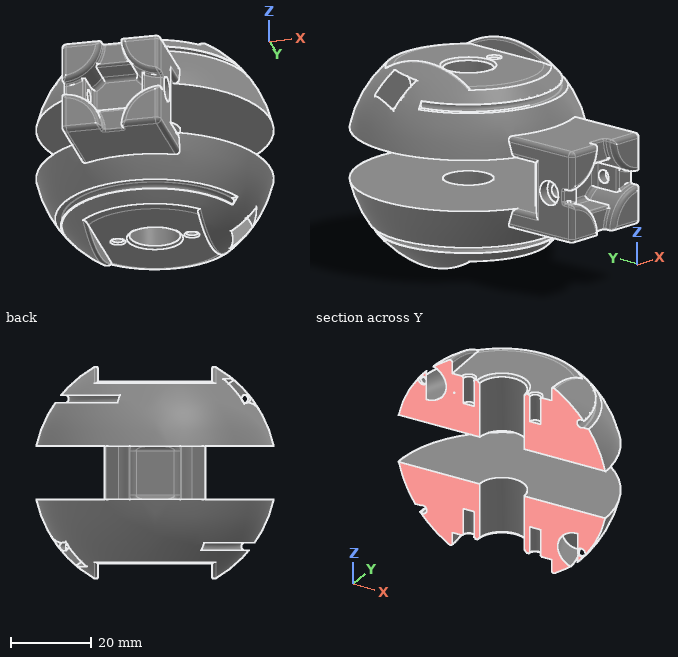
import cadquery as cq
BALL_R = 30.5
GAP_HALF = 6.64

SEAT_HALF_WIDTH = 14.2
SEAT_Z = 22.8
SEAT_FLAT_R = 18.8
SEAT_SLOPE = 0.24
LIP_FILLET = 0.6

BORE_R = 6.4
BORE_CHAMFER = 0.7
SCREW_X = 9.5
SCREW_R = 1.45
SCREW_CHAMFER = 0.45
SCREW_DEPTH = 7.7

GROOVE_Z = 18.4
GROOVE_HALF_WIDTH = 0.9
GROOVE_LIP_FILLET = 0.6
CORD_CENTRE_R = 22.7
CORD_R = 1.1
GROOVE_MIDDLE = 310.5
UPPER_GROOVE_SWEEP = 235
LOWER_GROOVE_SWEEP = 220
POCKET_AXIS_OFFSET = 19.95
POCKET_R = 5.1
POCKET_ANGLE = 158
POCKET_START = -2.1
POCKET_LENGTH = 10.1
TUNNEL_END = 176

FRONT_Y = -47.015
BLOCK_HALF_X = 12.7
BLOCK_HALF_Z = 11.9
BLOCK_BACK_Y = -23
BLOCK_FILLET = 1.2

POST_R = 10.1
CHANNEL_DEPTH = 3.0
CHANNEL_Y = FRONT_Y + CHANNEL_DEPTH
POST_BASE_FILLET = 0.45
CHANNEL_MOUTH_FILLET = 0.5

WELL_HALF_X = 7.4
WELL_HALF_Z = 5.9
WELL_FLOOR_Y = -36.1
WELL_RIM_FILLET = 0.6
WELL_FLOOR_FILLET = 1.15

CROSS_Y = -39.3
CROSS_R = 1.7
CROSS_HEAD_R = 3.15
CROSS_HEAD_DEPTH = 2.8

RECESS_Y = -35.1
TONGUE_TIP_Y = -28.1
TONGUE_TIP_FILLET = 2.3
TONGUE_ROOT_FILLET = 1.15
SCOOP_X = 11.4
SCOOP_Y = -26.7
SCOOP_R = 5.4


def ring(profile, start, sweep):
    """Revolve a profile drawn in XZ around the Z axis, from a start angle."""
    return profile.revolve(sweep, (0, 0), (0, 1)).rotate((0, 0, 0), (0, 0, 1), start)


def seat_cutter():
    """Space above the seat floor: flat in the middle, sloping down to its round rim."""
    floor = (
        cq.Workplane("XZ")
        .moveTo(0, SEAT_Z)
        .lineTo(SEAT_FLAT_R, SEAT_Z)
        .lineTo(BALL_R, SEAT_Z - SEAT_SLOPE * (BALL_R - SEAT_FLAT_R))
        .lineTo(BALL_R, BALL_R)
        .lineTo(0, BALL_R)
        .close()
        .revolve(360, (0, 0), (0, 1))
    )
    channel = cq.Workplane("XY").box(2 * SEAT_HALF_WIDTH, 2 * BALL_R, 2 * BALL_R)
    return floor.intersect(channel)


def seat_hole(x, radius, chamfer, depth):
    """Round hole down from the seat with a chamfered mouth."""
    hole = cq.Workplane("XY", origin=(x, 0, SEAT_Z - depth)).circle(radius).extrude(depth)
    mouth = (
        cq.Workplane("XY", origin=(x, 0, SEAT_Z))
        .circle(radius + chamfer)
        .extrude(-radius - chamfer, taper=45)
    )
    return hole.union(mouth)


def cord_groove(start, sweep):
    """Undercut groove along an arc: a round channel that opens through a narrower slot."""
    mouth = BALL_R - CORD_CENTRE_R
    slot = (
        cq.Workplane("XZ")
        .moveTo(CORD_CENTRE_R + mouth / 2, GROOVE_Z)
        .rect(mouth, 2 * GROOVE_HALF_WIDTH)
    )
    groove = ring(slot, start, sweep).union(cord_path(start, sweep))
    lower_z = GROOVE_Z - GROOVE_HALF_WIDTH
    lower_lip = cq.selectors.BoxSelector((-BALL_R, -BALL_R, lower_z - 0.01), (BALL_R, BALL_R, lower_z + 0.01))
    return groove.edges(lower_lip).edges("%CIRCLE").fillet(GROOVE_LIP_FILLET)


def cord_path(start, sweep):
    """Round cord lying along an arc."""
    return ring(cq.Workplane("XZ").moveTo(CORD_CENTRE_R, GROOVE_Z).circle(CORD_R), start, sweep)


def finger_pocket():
    """Level cylinder that bites into the side of the cap."""
    return (
        cq.Workplane("XZ", origin=(0, POCKET_START, 0))
        .moveTo(POCKET_AXIS_OFFSET, GROOVE_Z)
        .circle(POCKET_R)
        .extrude(-POCKET_LENGTH)
        .rotate((0, 0, 0), (0, 0, 1), POCKET_ANGLE)
    )


def cap(groove_sweep):
    """Upper cap, with its groove centred on the same direction whatever its sweep."""
    above_gap = cq.Workplane("XY", origin=(0, 0, GAP_HALF)).rect(2 * BALL_R, 2 * BALL_R).extrude(BALL_R)
    sphere = cq.Workplane("XY").sphere(BALL_R).rotate((0, 0, 0), (0, 0, 1), 90)
    body = sphere.intersect(above_gap).cut(seat_cutter())
    lip_zone = cq.selectors.BoxSelector(
        (-SEAT_HALF_WIDTH - 0.8, -BALL_R, SEAT_Z + 0.8), (SEAT_HALF_WIDTH + 0.8, BALL_R, BALL_R)
    )
    body = body.edges(lip_zone).fillet(LIP_FILLET)

    body = body.cut(seat_hole(0, BORE_R, BORE_CHAMFER, SEAT_Z))
    for x in (-SCREW_X, SCREW_X):
        body = body.cut(seat_hole(x, SCREW_R, SCREW_CHAMFER, SCREW_DEPTH))

    groove_start = GROOVE_MIDDLE - groove_sweep / 2
    body = body.cut(cord_groove(groove_start, groove_sweep))
    body = body.cut(cord_path(TUNNEL_END, groove_start - TUNNEL_END))
    return body.cut(finger_pocket())


def corner_posts():
    """Four cylinders centred on the long edges of the mount."""
    return (
        cq.Workplane("XZ", origin=(0, FRONT_Y, 0))
        .rect(2 * BLOCK_HALF_X, 2 * BLOCK_HALF_Z, forConstruction=True)
        .vertices()
        .circle(POST_R)
        .extrude(FRONT_Y - BLOCK_BACK_Y)
    )


def well_cutter():
    """Rectangular well with a rounded mouth, kept clear of the corner posts."""
    well = cq.Workplane("XZ").rect(2 * WELL_HALF_X, 2 * WELL_HALF_Z).extrude(CHANNEL_Y - WELL_FLOOR_Y)
    plate = cq.Workplane("XZ").rect(2 * BLOCK_HALF_X, 2 * BLOCK_HALF_Z).extrude(CHANNEL_DEPTH)
    mouth = cq.selectors.BoxSelector(
        (-WELL_HALF_X - 0.01, -0.01, -WELL_HALF_Z - 0.01),
        (WELL_HALF_X + 0.01, 0.01, WELL_HALF_Z + 0.01),
    )
    flared = well.union(plate).edges(mouth).fillet(WELL_RIM_FILLET)
    outline = (
        cq.Workplane("XZ")
        .rect(2 * (WELL_HALF_X + WELL_RIM_FILLET), 2 * (WELL_HALF_Z + WELL_RIM_FILLET))
        .extrude(2 * CHANNEL_DEPTH + 2 * (CHANNEL_Y - WELL_FLOOR_Y), both=True)
    )
    return (
        flared.intersect(outline)
        .translate((0, CHANNEL_Y, 0))
        .cut(corner_posts())
        .faces(">Y")
        .edges()
        .fillet(WELL_FLOOR_FILLET)
    )


def recess():
    """Gap inside the mount: two side bays around a tapered tongue with a scoop in each flank."""
    tip_half_width = BLOCK_HALF_X - (TONGUE_TIP_Y - RECESS_Y)
    outside_x = 2 * BLOCK_HALF_X
    outside_y = RECESS_Y - (outside_x - BLOCK_HALF_X)
    tongue_sides = [
        (-outside_x, outside_y),
        (-tip_half_width, TONGUE_TIP_Y),
        (tip_half_width, TONGUE_TIP_Y),
        (outside_x, outside_y),
    ]
    space = (
        cq.Workplane("XY", origin=(0, 0, -GAP_HALF))
        .polyline(tongue_sides + [(outside_x, 0), (-outside_x, 0)])
        .close()
        .extrude(2 * GAP_HALF)
    )
    tip = cq.selectors.BoxSelector(
        (-BLOCK_HALF_X, TONGUE_TIP_Y - 0.1, -0.1), (BLOCK_HALF_X, TONGUE_TIP_Y + 0.1, 0.1)
    )
    tip_roots = cq.selectors.BoxSelector(
        (-0.8, TONGUE_TIP_Y - 0.1, -2 * GAP_HALF), (0.8, TONGUE_TIP_Y + 0.1, 2 * GAP_HALF)
    )
    space = space.edges(tip_roots).fillet(TONGUE_ROOT_FILLET)
    space = space.edges(tip).fillet(TONGUE_TIP_FILLET)
    scoops = (
        cq.Workplane("XY", origin=(0, 0, -GAP_HALF))
        .pushPoints([(-SCOOP_X, SCOOP_Y), (SCOOP_X, SCOOP_Y)])
        .circle(SCOOP_R)
        .extrude(2 * GAP_HALF)
    )
    return space.union(scoops)


def mount():
    """Block with corner posts, channel, well, cross hole and the recess behind them."""
    length = BLOCK_BACK_Y - FRONT_Y
    body = (
        cq.Workplane("XZ", origin=(0, FRONT_Y, 0))
        .rect(2 * BLOCK_HALF_X, 2 * BLOCK_HALF_Z)
        .extrude(-length)
        .edges("|Y")
        .fillet(BLOCK_FILLET)
    )

    channel = (
        cq.Workplane("XZ", origin=(0, FRONT_Y, 0))
        .rect(3 * BLOCK_HALF_X, 3 * BLOCK_HALF_Z)
        .extrude(-CHANNEL_DEPTH)
        .cut(corner_posts())
    )
    body = body.cut(channel)
    depth = 0.01
    channel_floor = cq.selectors.BoxSelector(
        (-BLOCK_HALF_X - depth, CHANNEL_Y - depth, -BLOCK_HALF_Z - depth),
        (BLOCK_HALF_X + depth, CHANNEL_Y + depth, BLOCK_HALF_Z + depth),
    )
    body = body.edges(channel_floor).edges("%CIRCLE").fillet(POST_BASE_FILLET)
    body = body.faces("<Y").edges().fillet(BLOCK_FILLET)
    body = body.edges(channel_floor).edges("%LINE").fillet(CHANNEL_MOUTH_FILLET)
    body = body.cut(well_cutter())

    cross_hole = cq.Workplane("YZ").moveTo(CROSS_Y, 0).circle(CROSS_R).extrude(BLOCK_HALF_X, both=True)
    body = body.cut(cross_hole)
    for side in (-1, 1):
        head = (
            cq.Workplane("YZ", origin=(side * BLOCK_HALF_X, 0, 0))
            .moveTo(CROSS_Y, 0)
            .circle(CROSS_HEAD_R)
            .extrude(-side * CROSS_HEAD_DEPTH)
        )
        body = body.cut(head)

    body = body.cut(recess())
    for side in (-1, 1):
        x = side * BLOCK_HALF_X
        rim = cq.selectors.BoxSelector(
            (x - 0.1, RECESS_Y - 0.1, -GAP_HALF - 0.1),
            (x + 0.1, BLOCK_BACK_Y - 0.1, GAP_HALF + 0.1),
        )
        body = body.edges(rim).fillet(BLOCK_FILLET)
    return body


lower_cap = cap(LOWER_GROOVE_SWEEP).rotate((0, 0, 0), (0, 1, 0), 180)
result = mount().union(cap(UPPER_GROOVE_SWEEP)).union(lower_cap)